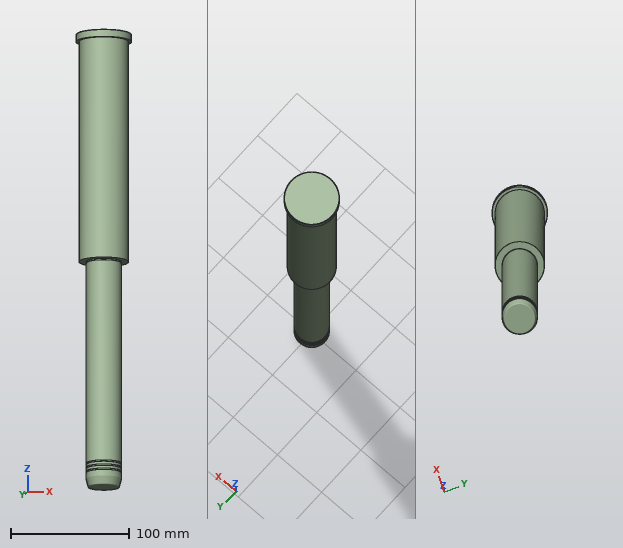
import cadquery as cq
import math

total_length = 391.0
head_diameter = 47.0
head_height = 6.3
sleeve_diameter = 42.0
sleeve_end_z = 194.7
stem_diameter = 30.0

head_chamfer = 0.5
tip_radius = 0.8

taper_length = 7.0
taper_angle = 15.0

groove_count = 3
groove_width = 1.0
groove_pitch = 3.5
groove_depth = 0.2
lowest_groove_z = 12.5


def cylinder(diameter, bottom_z, top_z):
    """Solid cylinder on the Z axis between two heights."""
    return cq.Workplane("XY").workplane(offset=bottom_z).circle(diameter / 2).extrude(top_z - bottom_z)


def ring_groove(bottom_z):
    """Cutter for one ring groove in the stem, reaching outside its surface."""
    return (
        cq.Workplane("XY")
        .workplane(offset=bottom_z)
        .circle(head_diameter / 2)
        .circle(stem_diameter / 2 - groove_depth)
        .extrude(groove_width)
    )


taper_inset = taper_length * math.tan(math.radians(taper_angle))
stem = cylinder(stem_diameter, 0, sleeve_end_z).faces("<Z").chamfer(taper_length, taper_inset)
stem = stem.faces("<Z").edges().fillet(tip_radius)
for index in range(groove_count):
    stem = stem.cut(ring_groove(lowest_groove_z + index * groove_pitch))
stem = stem.cut(ring_groove(sleeve_end_z - groove_width))

head_bottom_z = total_length - head_height
sleeve = cylinder(sleeve_diameter, sleeve_end_z, head_bottom_z)
head = cylinder(head_diameter, head_bottom_z, total_length).faces(">Z").chamfer(head_chamfer)

result = stem.union(sleeve).union(head)